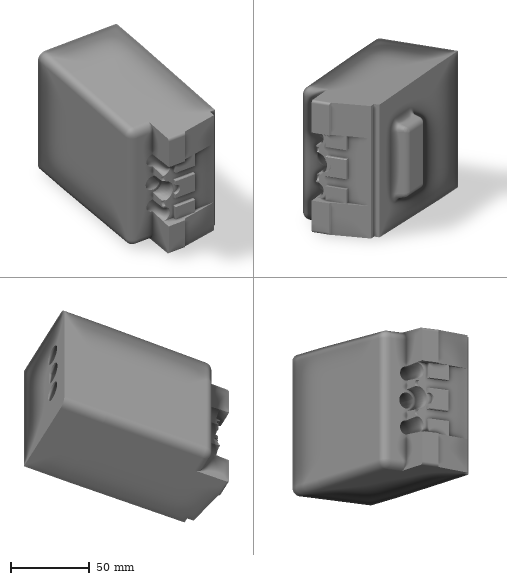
import cadquery as cq
import math

HALF_HEIGHT = 46.16
DEPTH = 60.3
STRAIGHT_LENGTH = 30.0
SIDE_TAPER = 0.86
FRONT_LENGTH = 106.2
LEDGE_Y = -42.9
EDGE_RADIUS = 5.4

END_X = 118.5
REAR_STEP_X = 113.9
REAR_STEP_Y = -3.8
KNEE_X = 123.4
KNEE_Y = -29.5
LIP_X = 125.1
LIP_DROP = 0.9
LIP_CORNER_RADIUS = 1.8
CHEEK_INNER_Z = 23.0

SOCKET_PITCH = 17.6
SIDE_HOLE_RADIUS = 4.6
SIDE_BORE_RADIUS = 6.6
MIDDLE_HOLE_RADIUS = 5.2
MIDDLE_BORE_RADIUS = 7.15
MIDDLE_BORE_FLAT = 5.0
BORE_DEPTH = 8.0
FLARE_ANGLE = 3.0
SIDE_FLARE_START = 106.0
MIDDLE_FLARE_START = 106.5
MIDDLE_FLARE_RADIUS = 7.1
DIMPLE_RADIUS = 2.1
DIMPLE_Z = 9.4
DIMPLE_DEPTH = 2.0

TAB_FRONT_Y = -35.0
TAB_REAR_Y = -20.0
SIDE_TAB_X = 121.2
SIDE_TAB_INNER_Z = 13.3
MIDDLE_TAB_X = 120.9
MIDDLE_TAB_HALF_WIDTH = 6.9
MIDDLE_TAB_CORNER = 0.4
MIDDLE_TAB_GROOVE_RADIUS = 3.6

PAD_X = 80.1
PAD_WIDTH = 30.0
PAD_LENGTH = 52.0
PAD_HEIGHT = 9.7
PAD_DRAFT = 17.0
PAD_CORNER_RADIUS = 5.0
PAD_TOP_RADIUS = 4.0
PAD_BASE_RADIUS = 4.0

PLUG_RADIUS = 5.1
PLUG_Y = -28.9
PLUG_LENGTH = 10.0


def box(x_range, y_range, z_range):
    """Axis-aligned block between the given limits."""
    lows, highs = zip(x_range, y_range, z_range)
    size = [high - low for low, high in zip(lows, highs)]
    return cq.Workplane("XY").box(*size, centered=False).translate(lows)


def x_cylinder(radius, x_start, x_end, y, z):
    """Cylinder along X."""
    return cq.Workplane("YZ", origin=(x_start, y, z)).circle(radius).extrude(x_end - x_start)


def x_flare(start_radius, x_start, z):
    """Cone on the ledge plane that widens toward the right-hand end."""
    length = LIP_X - x_start
    start_circle = cq.Workplane("YZ", origin=(x_start, LEDGE_Y, z)).circle(start_radius)
    return start_circle.extrude(length, taper=-FLARE_ANGLE)


def tapered_prism(length, y_low, y_high):
    """Block whose Z sides are parallel at first and then taper toward +X."""
    end_half = HALF_HEIGHT - (length - STRAIGHT_LENGTH) * math.tan(math.radians(SIDE_TAPER))
    outline = [
        (0, -HALF_HEIGHT),
        (STRAIGHT_LENGTH, -HALF_HEIGHT),
        (length, -end_half),
        (length, end_half),
        (STRAIGHT_LENGTH, HALF_HEIGHT),
        (0, HALF_HEIGHT),
    ]
    return cq.Workplane("XZ", origin=(0, y_high, 0)).polyline(outline).close().extrude(y_high - y_low)


def make_front_block():
    block = tapered_prism(FRONT_LENGTH, -DEPTH, LEDGE_Y)
    side_edges = block.faces("<Y").edges("not <X")
    end_edges = block.faces(">X").edges("|Y")
    return block.newObject(side_edges.vals() + end_edges.vals()).fillet(EDGE_RADIUS)


def make_rear_block():
    block = tapered_prism(LIP_X, LEDGE_Y, 0).faces(">X").edges("|Y").fillet(LIP_CORNER_RADIUS)
    profile = [
        (0, LEDGE_Y),
        (LIP_X, LEDGE_Y),
        (LIP_X, KNEE_Y - LIP_DROP),
        (KNEE_X, KNEE_Y),
        (END_X, REAR_STEP_Y),
        (REAR_STEP_X, REAR_STEP_Y),
        (REAR_STEP_X, 0),
        (0, 0),
    ]
    limits = cq.Workplane("XY").polyline(profile).close().extrude(HALF_HEIGHT, both=True)
    recess = box((END_X, LIP_X), (LEDGE_Y, 0), (-CHEEK_INNER_Z, CHEEK_INNER_Z))
    return block.intersect(limits).cut(recess)


def make_pad():
    pad = (
        cq.Workplane("XZ", origin=(PAD_X, 0, 0))
        .sketch()
        .rect(PAD_WIDTH, PAD_LENGTH)
        .vertices()
        .fillet(PAD_CORNER_RADIUS)
        .finalize()
        .extrude(-PAD_HEIGHT, taper=PAD_DRAFT)
    )
    return pad.faces(">Y").edges().fillet(PAD_TOP_RADIUS)


def round_pad_base(body):
    """Blend the foot of the pad into the back face."""
    margin = 1.0
    pad_region = cq.selectors.BoxSelector(
        (PAD_X - PAD_WIDTH / 2 - margin, -margin, -PAD_LENGTH / 2 - margin),
        (PAD_X + PAD_WIDTH / 2 + margin, margin, PAD_LENGTH / 2 + margin),
    )
    return body.edges(pad_region).fillet(PAD_BASE_RADIUS)


def make_side_tab(side):
    z_range = sorted((side * SIDE_TAB_INNER_Z, side * CHEEK_INNER_Z))
    return box((END_X, SIDE_TAB_X), (TAB_FRONT_Y, TAB_REAR_Y), z_range)


def make_middle_tab():
    tab = box(
        (END_X, MIDDLE_TAB_X),
        (TAB_FRONT_Y, TAB_REAR_Y),
        (-MIDDLE_TAB_HALF_WIDTH, MIDDLE_TAB_HALF_WIDTH),
    )
    tab = tab.faces(">X").edges("|Y").chamfer(MIDDLE_TAB_CORNER)
    return tab.cut(x_cylinder(MIDDLE_TAB_GROOVE_RADIUS, END_X, MIDDLE_TAB_X, TAB_FRONT_Y, 0))


def side_socket(side):
    z = side * SOCKET_PITCH
    bore = x_cylinder(SIDE_BORE_RADIUS, 0, BORE_DEPTH, LEDGE_Y, z)
    hole = x_cylinder(SIDE_HOLE_RADIUS, 0, END_X, LEDGE_Y, z)
    return bore.union(hole).union(x_flare(SIDE_HOLE_RADIUS, SIDE_FLARE_START, z))


def middle_socket():
    bore = x_cylinder(MIDDLE_BORE_RADIUS, 0, BORE_DEPTH, LEDGE_Y, 0)
    hole = x_cylinder(MIDDLE_HOLE_RADIUS, 0, END_X, LEDGE_Y, 0)
    flat_side = box(
        (0, MIDDLE_FLARE_START),
        (LEDGE_Y + MIDDLE_BORE_FLAT, LEDGE_Y + 2 * MIDDLE_BORE_RADIUS),
        (-MIDDLE_BORE_RADIUS, MIDDLE_BORE_RADIUS),
    )
    return bore.union(hole).cut(flat_side).union(x_flare(MIDDLE_FLARE_RADIUS, MIDDLE_FLARE_START, 0))


def end_dimple(side):
    """Half-round relief where the ledge meets the middle end face."""
    return (
        cq.Workplane("XZ", origin=(END_X, LEDGE_Y, side * DIMPLE_Z))
        .circle(DIMPLE_RADIUS)
        .extrude(-DIMPLE_DEPTH)
    )


def make_plug():
    return x_cylinder(PLUG_RADIUS, 0, PLUG_LENGTH, PLUG_Y, 0)


def make_housing(plug):
    body = make_rear_block().union(make_pad())
    body = round_pad_base(body).union(make_front_block())
    body = body.cut(middle_socket())
    for side in (-1, 1):
        body = body.cut(side_socket(side)).cut(end_dimple(side))
        body = body.union(make_side_tab(side))
    return body.union(make_middle_tab()).cut(plug)


plug = make_plug()
housing = make_housing(plug)

result = cq.Compound.makeCompound([housing.val(), plug.val()])